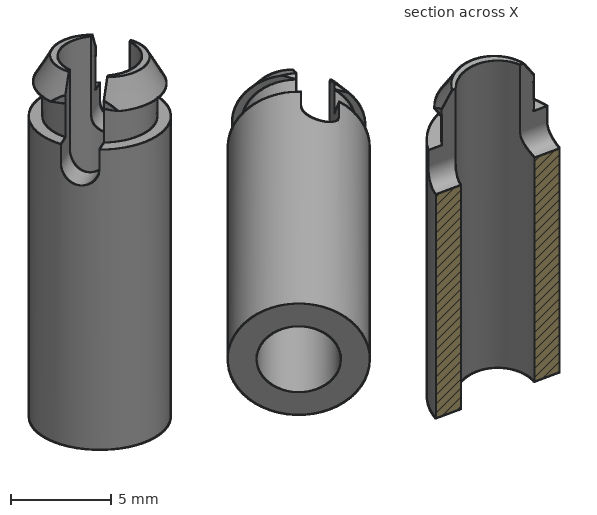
import cadquery as cq

body_diameter = 7.1
bore_diameter = 4.2
shoulder_height = 17.0

neck_width = 5.76
neck_offset = 0.1
head_base_height = 18.9
total_height = 20.4
head_base_width = 6.7
head_top_width = 5.0
cone_offset = 0.35
head_flat_width = 5.3

slot_width = 2.0
slot_bottom_height = 14.9


def make_body():
    return cq.Workplane("XY").circle(body_diameter / 2).extrude(shoulder_height)


def make_neck(side):
    """Neck of one prong: half of an off-center cylinder, on the side (+1 or -1) along X."""
    neck_length = head_base_height - shoulder_height
    half_width = neck_width / 2
    cylinder = (
        cq.Workplane("XY", origin=(side * neck_offset, 0, shoulder_height))
        .circle(half_width - neck_offset)
        .extrude(neck_length)
    )
    prong_space = (
        cq.Workplane("XY", origin=(side * half_width / 2, 0, shoulder_height))
        .rect(half_width, neck_width)
        .extrude(neck_length)
    )
    return cylinder.intersect(prong_space)


def make_catch(side):
    """Tapered catch of one prong: half of an off-center cone, on the side (+1 or -1) along X."""
    head_length = total_height - head_base_height
    cone = (
        cq.Workplane("XY", origin=(side * cone_offset, 0, head_base_height))
        .circle(head_base_width / 2 - cone_offset)
        .workplane(offset=head_length)
        .circle(head_top_width / 2 - cone_offset)
        .loft(ruled=True)
    )
    half_width = head_base_width / 2
    prong_space = (
        cq.Workplane("XY", origin=(side * half_width / 2, 0, head_base_height))
        .rect(half_width, head_flat_width)
        .extrude(head_length)
    )
    return cone.intersect(prong_space)


def make_bore():
    return cq.Workplane("XY").circle(bore_diameter / 2).extrude(total_height)


def make_slot():
    """Round-bottomed slot through the part along Y, open at the top."""
    half_width = slot_width / 2
    arc_center_height = slot_bottom_height + half_width
    return (
        cq.Workplane("XZ")
        .moveTo(-half_width, total_height)
        .lineTo(-half_width, arc_center_height)
        .threePointArc((0, slot_bottom_height), (half_width, arc_center_height))
        .lineTo(half_width, total_height)
        .close()
        .extrude(body_diameter, both=True)
    )


result = make_body()
for side in (-1, 1):
    result = result.union(make_neck(side)).union(make_catch(side))
result = result.cut(make_bore()).cut(make_slot())